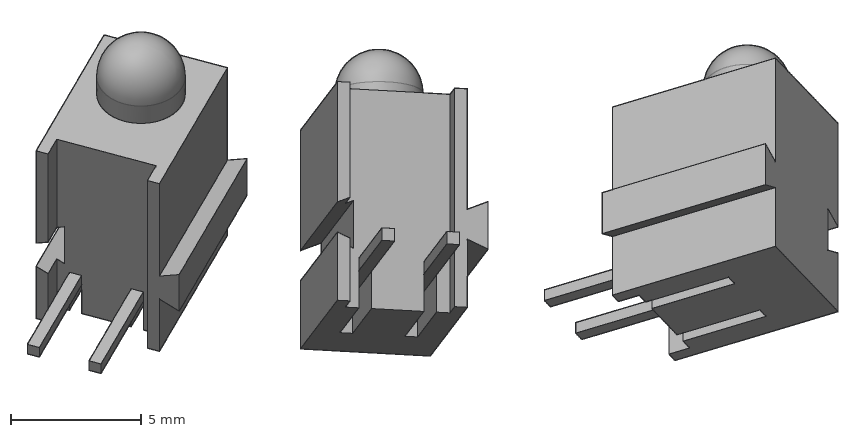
import cadquery as cq


total_depth = 10.6
total_height = 11.3

body_width = 5.08
body_depth = 7.1
body_height = 8.7
side_wall = 0.5
recess_depth = 0.9
led_to_back = 2.59

led_diameter = 3.4
led_radius = led_diameter / 2
dome_base_height = total_height - led_radius

dovetail_depth = 0.81
dovetail_mouth = 1.2
dovetail_base = 1.9
dovetail_height = 3.31

lead_size = 0.5
lead_pitch = 2.54
lead_bottom = 1.48

back_y = led_to_back
front_y = back_y - body_depth
recess_y = front_y + recess_depth
lead_tip_y = back_y - total_depth


def block(x_size, y_start, y_end, z_start, z_end, x_center=0.0):
    """Box centred on x_center and spanning the given Y and Z ranges."""
    return (
        cq.Workplane("XY", origin=(x_center, (y_start + y_end) / 2, z_start))
        .rect(x_size, y_end - y_start)
        .extrude(z_end - z_start)
    )


def dovetail(x_mouth):
    """Dovetail bar along Y that widens towards +X from x_mouth."""
    mouth = dovetail_mouth / 2
    base = dovetail_base / 2
    outline = [(0, -mouth), (dovetail_depth, -base), (dovetail_depth, base), (0, mouth)]
    return (
        cq.Workplane("XZ", origin=(x_mouth, back_y, dovetail_height))
        .polyline(outline)
        .close()
        .extrude(body_depth)
    )


def led():
    """Round LED with a hemispherical dome, starting on the top of the housing."""
    return (
        cq.Workplane("XZ")
        .moveTo(0, body_height)
        .lineTo(led_radius, body_height)
        .lineTo(led_radius, dome_base_height)
        .radiusArc((0, total_height), -led_radius)
        .close()
        .revolve(360, (0, 0, 0), (0, 1, 0))
    )


result = block(body_width, front_y, back_y, 0, body_height)
result = result.cut(block(body_width - 2 * side_wall, front_y, recess_y, 0, body_height))

result = result.cut(dovetail(-body_width / 2))
result = result.union(dovetail(body_width / 2))

result = result.union(led())

for lead_x in (-lead_pitch / 2, lead_pitch / 2):
    slot = block(lead_size, recess_y, 0, 0, lead_bottom, lead_x)
    lead = block(lead_size, lead_tip_y, recess_y, lead_bottom, lead_bottom + lead_size, lead_x)
    result = result.cut(slot).union(lead)